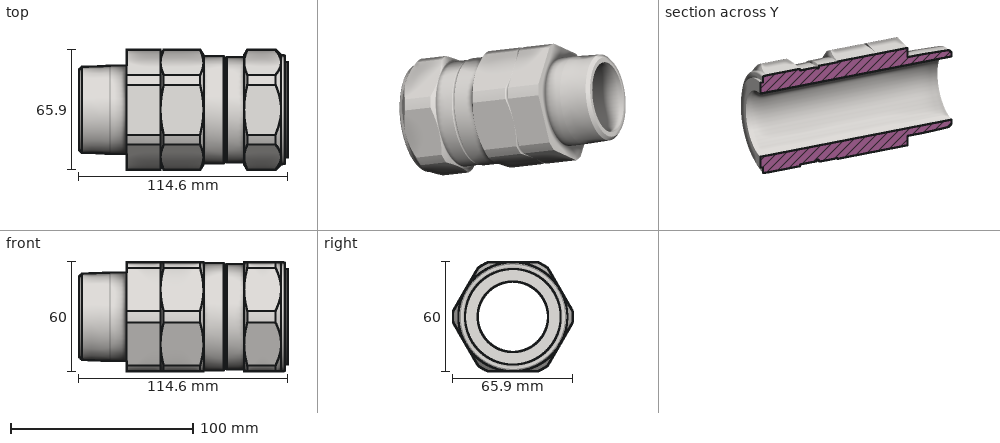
import cadquery as cq
import math


ACROSS_FLATS = 60.0
FLAT_RADIUS = ACROSS_FLATS / 2
ACROSS_CORNERS = 65.9
CORNER_RADIUS = ACROSS_CORNERS / 2
SHARP_CORNER_DIAMETER = ACROSS_FLATS / math.cos(math.radians(30))

TIP_RADIUS = 21.9
THREAD_START_RADIUS = 23.7
SPIGOT_RADIUS = 24.3
TIP_CHAMFER = THREAD_START_RADIUS - TIP_RADIUS
TAPER_END = 17.2

BODY_HEX_START = 26.3
MIDDLE_HEX_START = 44.8
MIDDLE_HEX_END = 68.6
HEX_CHAMFER = 1.7
MIDDLE_HEX_END_CHAMFER = 2.1

FRONT_COLLAR_RADIUS = 29.6
REAR_COLLAR_RADIUS = 29.0
GROOVE_RADIUS = 28.1
GROOVE_START = 79.3
GROOVE_FLOOR_START = 79.9
GROOVE_FLOOR_END = 80.3
GROOVE_END = 81.2

NUT_START = 90.7
NUT_HEX_END = 111.0
NUT_END_CHAMFER = 3.1
NUT_RIM_RADIUS = 29.9
NUT_END = 113.2
NUT_RIM_FILLET = 1.0

TOTAL_LENGTH = 114.6
END_RING_RADIUS = 26.3
BORE_RADIUS = 19.3


def revolve_profile(points):
    """Revolve (x, radius) points, closed along the axis, into a solid of revolution."""
    first_x, last_x = points[0][0], points[-1][0]
    outline = [(first_x, 0), *points, (last_x, 0)]
    return cq.Workplane("XZ").polyline(outline).close().revolve(360, (0, 0, 0), (1, 0, 0))


def cylinder(start, end, radius):
    return cq.Workplane("YZ", origin=(start, 0, 0)).circle(radius).extrude(end - start)


def hexagon(start, end, start_chamfer=0, end_chamfer=0, end_radius=CORNER_RADIUS):
    """Hexagonal prism with flats on +Z and -Z, its corners turned round and coned at the ends."""
    prism = cq.Workplane("YZ", origin=(start, 0, 0)).polygon(6, SHARP_CORNER_DIAMETER).extrude(end - start)
    envelope = []
    if start_chamfer:
        envelope.append((start, FLAT_RADIUS))
    envelope.append((start + start_chamfer, CORNER_RADIUS))
    envelope.append((end - end_chamfer, CORNER_RADIUS))
    if end_chamfer:
        envelope.append((end, end_radius))
    return prism.intersect(revolve_profile(envelope))


def spigot():
    return revolve_profile([
        (0, TIP_RADIUS),
        (TIP_CHAMFER, THREAD_START_RADIUS),
        (TAPER_END, SPIGOT_RADIUS),
        (BODY_HEX_START, SPIGOT_RADIUS),
    ])


def body_hexagons():
    plain = hexagon(BODY_HEX_START, MIDDLE_HEX_START)
    coned = hexagon(
        MIDDLE_HEX_START,
        MIDDLE_HEX_END,
        HEX_CHAMFER,
        MIDDLE_HEX_END_CHAMFER,
        FRONT_COLLAR_RADIUS,
    )
    return plain.union(coned)


def grooved_collars():
    return revolve_profile([
        (MIDDLE_HEX_END, FRONT_COLLAR_RADIUS),
        (GROOVE_START, FRONT_COLLAR_RADIUS),
        (GROOVE_FLOOR_START, GROOVE_RADIUS),
        (GROOVE_FLOOR_END, GROOVE_RADIUS),
        (GROOVE_END, REAR_COLLAR_RADIUS),
        (NUT_START, REAR_COLLAR_RADIUS),
    ])


def clamping_nut():
    hex_part = hexagon(NUT_START, NUT_HEX_END, HEX_CHAMFER, NUT_END_CHAMFER, NUT_RIM_RADIUS)
    rim = cylinder(NUT_HEX_END, NUT_END, NUT_RIM_RADIUS).faces(">X").edges().fillet(NUT_RIM_FILLET)
    return hex_part.union(rim)


end_ring = cylinder(NUT_END, TOTAL_LENGTH, END_RING_RADIUS)
bore = cylinder(0, TOTAL_LENGTH, BORE_RADIUS)

gland = spigot().union(body_hexagons()).union(grooved_collars()).union(clamping_nut()).union(end_ring)
result = gland.cut(bore)